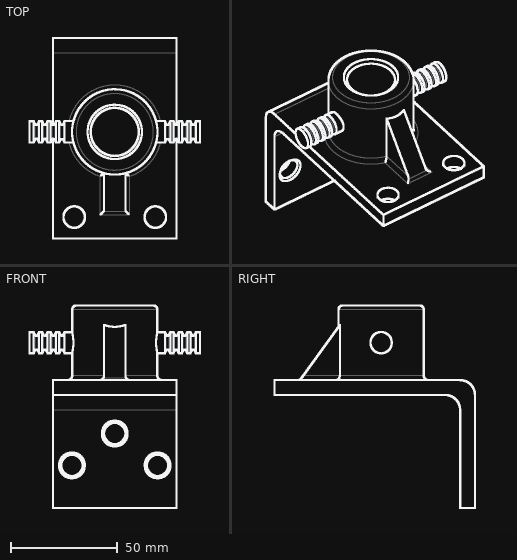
import cadquery as cq
import math

plate_width = 58.0
plate_depth = 94.0
plate_thickness = 7.0
bend_radius = plate_thickness
total_height = 95.0
boss_to_back = 44.0
back_y = boss_to_back
front_y = back_y - plate_depth

boss_diameter = 40.0
boss_height = 35.0
bore_diameter = 22.4
bore_chamfer = 1.5
edge_radius = 2.0
bottom_z = boss_height - total_height

rib_width = 10.0
rib_height = 24.9
rib_foot = 38.0

pin_diameter = 10.0
pin_span = 80.0
pin_z = boss_height / 2
groove_count = 4
groove_pitch = 4.0
groove_width = 2.6
groove_root_radius = 0.8
groove_half_angle = math.radians(25)
tip_land = 2.0

hole_diameter = 10.0
plate_hole_x = 19.0
plate_hole_front_margin = 10.1
wall_hole_x = 20.0
wall_low_hole_height = 20.0
wall_high_hole_height = 35.0
wall_hole_chamfer = 1.0


def make_bracket():
    """Bent plate, extruded along X from its side profile."""
    inner_y = back_y - plate_thickness
    profile = (
        cq.Workplane("YZ")
        .moveTo(front_y, 0)
        .lineTo(back_y - bend_radius, 0)
        .radiusArc((back_y, -bend_radius), bend_radius)
        .lineTo(back_y, bottom_z)
        .lineTo(inner_y, bottom_z)
        .lineTo(inner_y, -plate_thickness - bend_radius)
        .radiusArc((inner_y - bend_radius, -plate_thickness), -bend_radius)
        .lineTo(front_y, -plate_thickness)
        .close()
    )
    return profile.extrude(plate_width / 2, both=True)


def make_boss():
    boss = cq.Workplane("XY").circle(boss_diameter / 2).extrude(boss_height)
    return boss.faces(">Z").edges().fillet(edge_radius)


def make_rib():
    """Triangular rib whose slope carries on a little way into the boss."""
    slope = rib_height / (rib_foot - boss_diameter / 2)
    top_y = -boss_diameter / 2 + edge_radius
    top_z = slope * (rib_foot + top_y)
    outline = cq.Workplane("YZ").polyline([(-rib_foot, 0), (top_y, 0), (top_y, top_z)]).close()
    return outline.extrude(rib_width / 2, both=True)


def make_groove(center):
    """Ring that cuts a round-bottomed V groove around the X axis at X = center."""
    half_width = groove_width / 2
    pin_radius = pin_diameter / 2
    apex = pin_radius - half_width / math.tan(groove_half_angle)
    arc_center = apex + groove_root_radius / math.sin(groove_half_angle)
    tangent_x = groove_root_radius * math.cos(groove_half_angle)
    tangent_r = arc_center - groove_root_radius * math.sin(groove_half_angle)
    return (
        cq.Workplane("XY")
        .moveTo(center - half_width, pin_radius)
        .lineTo(center - tangent_x, tangent_r)
        .threePointArc((center, arc_center - groove_root_radius), (center + tangent_x, tangent_r))
        .lineTo(center + half_width, pin_radius)
        .close()
        .revolve(360, (0, 0, 0), (1, 0, 0))
    )


def make_pins():
    """Pin along X through the boss, grooved alike at both ends."""
    pins = cq.Workplane("YZ").circle(pin_diameter / 2).extrude(pin_span / 2, both=True)
    first_groove = pin_span / 2 - tip_land - groove_width / 2
    for index in range(groove_count):
        center = first_groove - index * groove_pitch
        for side in (-1, 1):
            pins = pins.cut(make_groove(side * center))
    return pins.translate((0, 0, pin_z))


def make_bore():
    bore = cq.Workplane("XY").workplane(offset=-plate_thickness).circle(bore_diameter / 2)
    bore = bore.extrude(plate_thickness + boss_height)
    mouth = cq.Solid.makeCone(
        bore_diameter / 2,
        bore_diameter / 2 + bore_chamfer,
        bore_chamfer,
        cq.Vector(0, 0, boss_height - bore_chamfer),
    )
    return bore.union(cq.Workplane(mouth))


def make_plate_holes():
    y = front_y + plate_hole_front_margin
    holes = cq.Workplane("XY").pushPoints([(-plate_hole_x, y), (plate_hole_x, y)])
    return holes.circle(hole_diameter / 2).extrude(-plate_thickness)


def make_wall_hole(x, height):
    """Hole along Y through the vertical wall, chamfered on the inner face."""
    start = cq.Vector(x, back_y - plate_thickness, bottom_z + height)
    along = cq.Vector(0, 1, 0)
    radius = hole_diameter / 2
    hole = cq.Solid.makeCylinder(radius, plate_thickness, start, along)
    mouth = cq.Solid.makeCone(radius + wall_hole_chamfer, radius, wall_hole_chamfer, start, along)
    return cq.Workplane(hole).union(cq.Workplane(mouth))


result = make_bracket().union(make_boss()).union(make_rib())
selection_margin = 0.1
foot_box = cq.selectors.BoxSelector(
    (-boss_diameter / 2 - selection_margin, -rib_foot - selection_margin, -selection_margin),
    (boss_diameter / 2 + selection_margin, boss_diameter / 2 + selection_margin, selection_margin),
    boundingbox=True,
)
result = result.edges(foot_box).fillet(edge_radius)

result = result.union(make_pins()).cut(make_bore()).cut(make_plate_holes())
for hole_x, hole_height in (
    (-wall_hole_x, wall_low_hole_height),
    (wall_hole_x, wall_low_hole_height),
    (0, wall_high_hole_height),
):
    result = result.cut(make_wall_hole(hole_x, hole_height))